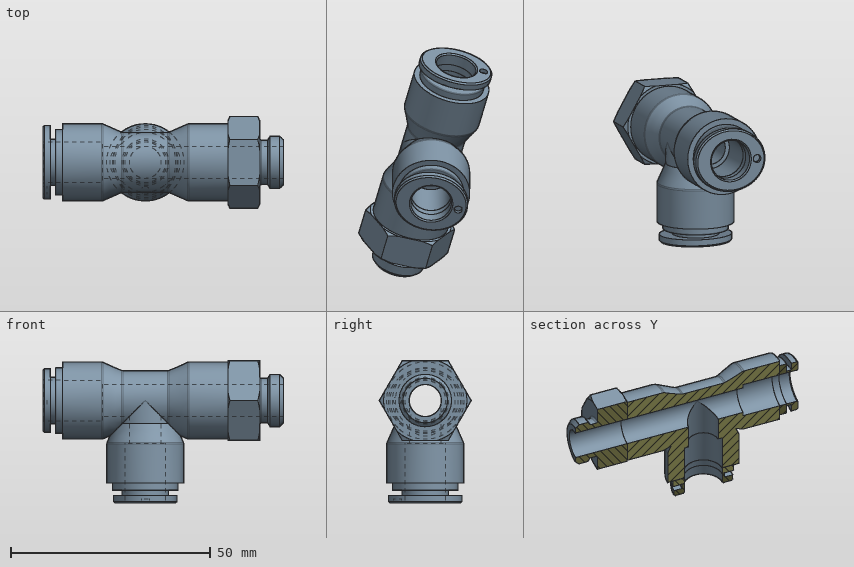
import cadquery as cq
import math


run_port_angle = 0
branch_port_angle = -90

body_radius = 19.4 / 2
waist_radius = 15.0 / 2
body_reach = 20.7
shoulder_outer = 10.75
shoulder_inner = 5.75
shoulder_round = 1.0
tube_bore_radius = 10.15 / 2
tube_stop = shoulder_outer
flow_radius = 8.0 / 2

guide_radius = 16.5 / 2
guide_length = 1.85
guide_round = 0.2
guide_face = body_reach + guide_length

sleeve_end = 25.7
sleeve_neck_radius = 11.7 / 2
sleeve_bore_radius = 10.2 / 2
mouth_chamfer = 0.35
flange_thickness = 1.9
flange_width = 18.5
flange_height = 16.0
flange_chamfer = 0.4
dot_diameter = 2.0
dot_offset = 7.0
dot_depth = 1.0

hex_across_flats = 20.0
hex_across_corners = hex_across_flats / math.cos(math.pi / 6)
hex_length = 8.0
hex_end = body_reach + hex_length
hex_face_radius = 10.45
hex_chamfer_angle = 25.0
envelope_clearance = 1.0
stem_radius = 11.2 / 2
stem_round = 0.45
thread_radius = 13.16 / 2
thread_start = hex_end + 2.0
thread_start_angle = 30.0
thread_end = hex_end + 6.0
thread_end_chamfer = 1.0


def x_cylinder(radius, start, end):
    return cq.Workplane("YZ").workplane(offset=start).circle(radius).extrude(end - start)


def x_revolve(points):
    """Turns a closed outline of (x, radius) points about the X axis."""
    return cq.Workplane("XY").polyline(points).close().revolve(360, (0, 0, 0), (1, 0, 0))


def swing(shape, port_angle):
    """Turns a part built on the -X port about the Y axis to another port."""
    return shape.rotate((0, 0, 0), (0, 1, 0), port_angle)


def to_branch(shape):
    return swing(shape, branch_port_angle)


def edges_at(position):
    """Selects the edges that lie wholly in the plane x = position."""
    reach = hex_across_flats
    tolerance = 0.01
    return cq.selectors.BoxSelector(
        (position - tolerance, -reach, -reach),
        (position + tolerance, reach, reach),
        boundingbox=True,
    )


def make_housing():
    run = x_revolve([
        (-body_reach, 0),
        (-body_reach, body_radius),
        (-shoulder_outer, body_radius),
        (-shoulder_inner, waist_radius),
        (shoulder_inner, waist_radius),
        (shoulder_outer, body_radius),
        (body_reach, body_radius),
        (body_reach, 0),
    ])
    for shoulder in (-shoulder_outer, -shoulder_inner, shoulder_inner, shoulder_outer):
        run = run.edges(edges_at(shoulder)).fillet(shoulder_round)

    branch = x_revolve([
        (-body_reach, 0),
        (-body_reach, body_radius),
        (-shoulder_outer, body_radius),
        (-shoulder_inner, waist_radius),
        (0, waist_radius),
        (0, 0),
    ])
    branch = branch.edges(edges_at(-shoulder_outer)).fillet(shoulder_round)

    tube_socket = x_cylinder(tube_bore_radius, -body_reach, -tube_stop)
    run_flow = x_cylinder(flow_radius, -body_reach, body_reach)
    branch_flow = x_cylinder(flow_radius, -body_reach, 0)

    housing = run.union(to_branch(branch))
    housing = housing.cut(tube_socket).cut(to_branch(tube_socket))
    return housing.cut(run_flow).cut(to_branch(branch_flow))


def make_guide_ring():
    ring = x_cylinder(guide_radius, -guide_face, -body_reach)
    ring = ring.faces("<X").edges().fillet(guide_round)
    return ring.cut(x_cylinder(sleeve_bore_radius, -guide_face, -body_reach))


def make_release_sleeve():
    flange = (
        cq.Workplane("YZ")
        .workplane(offset=-sleeve_end)
        .ellipse(flange_width / 2, flange_height / 2)
        .extrude(flange_thickness)
        .faces("<X").edges().chamfer(flange_chamfer)
    )
    neck = x_cylinder(sleeve_neck_radius, -sleeve_end + flange_thickness, -guide_face)
    bore = x_revolve([
        (-sleeve_end, 0),
        (-sleeve_end, sleeve_bore_radius + mouth_chamfer),
        (-sleeve_end + mouth_chamfer, sleeve_bore_radius),
        (-guide_face, sleeve_bore_radius),
        (-guide_face, 0),
    ])
    dot = x_cylinder(dot_diameter / 2, -sleeve_end, -sleeve_end + dot_depth)
    dot = dot.translate((0, -dot_offset, 0))
    return flange.union(neck).cut(bore).cut(dot)


def make_nipple():
    hexagon = (
        cq.Workplane("YZ")
        .workplane(offset=body_reach)
        .polygon(6, hex_across_corners)
        .extrude(hex_length)
    )

    envelope_radius = hex_across_corners / 2 + envelope_clearance
    chamfer_slope = math.tan(math.radians(hex_chamfer_angle))
    chamfer_run = (envelope_radius - hex_face_radius) * chamfer_slope
    envelope = x_revolve([
        (body_reach, 0),
        (body_reach, hex_face_radius),
        (body_reach + chamfer_run, envelope_radius),
        (hex_end - chamfer_run, envelope_radius),
        (hex_end, hex_face_radius),
        (hex_end, 0),
    ])

    thread_lead = (thread_radius - stem_radius) * math.tan(math.radians(thread_start_angle))
    stem = x_revolve([
        (body_reach, 0),
        (body_reach, stem_radius),
        (thread_start, stem_radius),
        (thread_start + thread_lead, thread_radius),
        (thread_end - thread_end_chamfer, thread_radius),
        (thread_end, thread_radius - thread_end_chamfer),
        (thread_end, 0),
    ])
    nipple = hexagon.intersect(envelope).union(stem)
    smallest_circle = cq.selectors.RadiusNthSelector(0)
    stem_root = nipple.edges("%CIRCLE").edges(edges_at(hex_end)).edges(smallest_circle)
    nipple = stem_root.fillet(stem_round)
    return nipple.cut(x_cylinder(flow_radius, body_reach, thread_end))


housing = make_housing().solids()
nipple = make_nipple().solids()

guide_rings = []
release_sleeves = []
for port_angle in (run_port_angle, branch_port_angle):
    guide_rings.append(swing(make_guide_ring(), port_angle).solids().val())
    release_sleeves.append(swing(make_release_sleeve(), port_angle).solids().val())

result = cq.Compound.makeCompound([housing.val(), nipple.val(), *guide_rings, *release_sleeves])